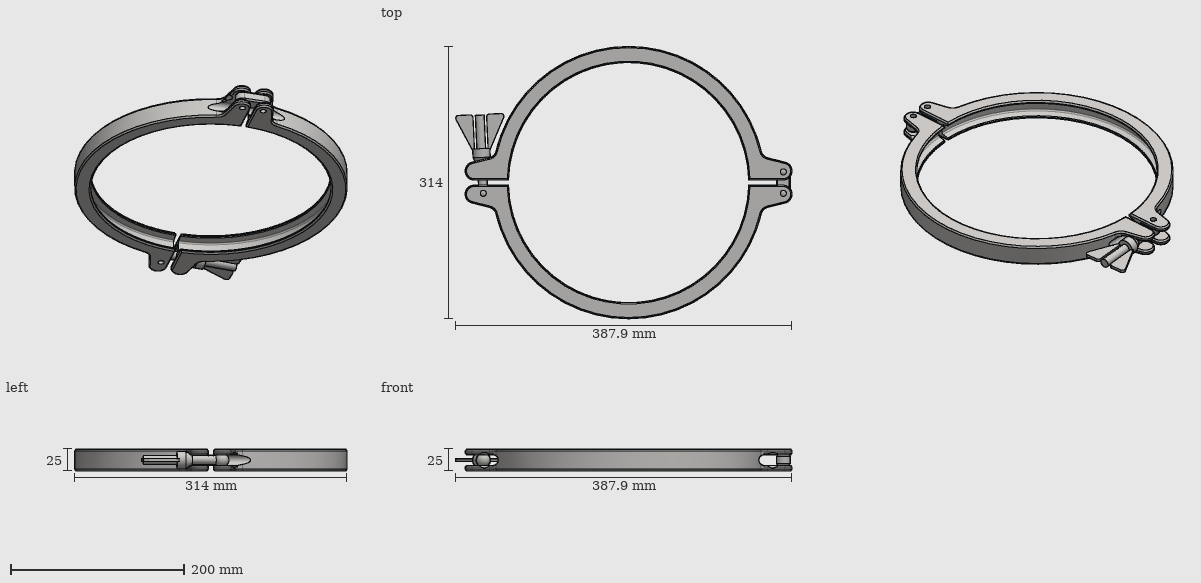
import cadquery as cq
import math

HEIGHT = 25.0
RING_OUTER_RADIUS = 157.0
RING_INNER_RADIUS = 138.5
HALF_GAP = 2.9
EDGE_CHAMFER_HEIGHT = 2.15
EDGE_CHAMFER_WIDTH = 1.5
GROOVE_RADIUS = 147.5
GROOVE_MOUTH_HEIGHT = 18.0
GROOVE_FLOOR_HEIGHT = 12.8
GROOVE_FILLET = 2.0
MOUTH_FILLET = 1.0

LUG_RADIUS = 10.5
LUG_X = 178.0
LUG_Y = HALF_GAP + LUG_RADIUS
LUG_SLOPE = math.radians(14)
LUG_ROOT_X = 151.0
SLOT_HEIGHT = 12.0
PRONG_THICKNESS = (HEIGHT - SLOT_HEIGHT) / 2
SLOT_INNER_X = 150.15
SLOT_END_Y = 58.0

JOINT_Y = 12.5
HINGE_X = 178.2
BOLT_X = -167.5
BOLT_BALL_DIAMETER = 16.5
LINK_BALL_DIAMETER = 15.5
JOINT_HOLE_DIAMETER = 7.0
LINK_WIDTH = 16.3

BOLT_TILT = 2.6
ROD_DIAMETER = 10.5
ROD_LENGTH = 90.3
NUT_RADIUS = 10.0
NUT_TIP_RADIUS = 6.2
NUT_TIP_Y = 34.0
NUT_CONE_END_Y = 41.5
NUT_TOP_Y = 51.5
WING_THICKNESS = 3.5
WING_INNER_X = 7.8
WING_ROOT_X = 9.3
WING_ROOT_Y = 48.0
WING_TIP_X = 30.0
WING_TOP_Y = 91.0
WING_CORNER_RADIUS = 3.5


def lug_blank(height):
    """Solid lug on the +X end of the +Y half, standing on the XY plane."""
    tangent_x = LUG_X + LUG_RADIUS * math.sin(LUG_SLOPE)
    tangent_y = LUG_Y + LUG_RADIUS * math.cos(LUG_SLOPE)
    root_y = tangent_y + (tangent_x - LUG_ROOT_X) * math.tan(LUG_SLOPE)
    return (
        cq.Workplane("XY")
        .moveTo(LUG_ROOT_X, HALF_GAP)
        .lineTo(LUG_X, HALF_GAP)
        .threePointArc((LUG_X + LUG_RADIUS, LUG_Y), (tangent_x, tangent_y))
        .lineTo(LUG_ROOT_X, root_y)
        .close()
        .extrude(height)
    )


def chamfer_rims(body):
    """Bevel every edge of the flat top and bottom faces."""
    for face in (">Z", "<Z"):
        body = body.faces(face).chamfer(EDGE_CHAMFER_HEIGHT, EDGE_CHAMFER_WIDTH)
    return body


def half_plate(height, z):
    """Half ring with two solid lugs, blended and with beveled rims, at mid-height z."""
    ring = cq.Workplane("XY").circle(RING_OUTER_RADIUS).circle(RING_INNER_RADIUS).extrude(height)
    keep = (
        cq.Workplane("XY")
        .box(3 * RING_OUTER_RADIUS, 2 * RING_OUTER_RADIUS, height, centered=(True, False, False))
        .translate((0, HALF_GAP, 0))
    )
    lug = lug_blank(height)
    plate = ring.intersect(keep).union(lug).union(lug.mirror("YZ"))
    blend_zone = cq.selectors.BoxSelector(
        (-RING_OUTER_RADIUS, LUG_Y + LUG_RADIUS, 0),
        (RING_OUTER_RADIUS, RING_OUTER_RADIUS, height),
    )
    plate = plate.edges("|Z").edges(blend_zone).fillet(LUG_RADIUS)
    return chamfer_rims(plate).translate((0, 0, z - height / 2))


def groove():
    """Tapered groove around the inside of the ring."""
    return (
        cq.Workplane("XZ")
        .moveTo(0, -GROOVE_MOUTH_HEIGHT / 2)
        .lineTo(RING_INNER_RADIUS, -GROOVE_MOUTH_HEIGHT / 2)
        .lineTo(GROOVE_RADIUS, -GROOVE_FLOOR_HEIGHT / 2)
        .lineTo(GROOVE_RADIUS, GROOVE_FLOOR_HEIGHT / 2)
        .lineTo(RING_INNER_RADIUS, GROOVE_MOUTH_HEIGHT / 2)
        .lineTo(0, GROOVE_MOUTH_HEIGHT / 2)
        .close()
        .revolve(360, (0, 0, 0), (0, 1, 0))
        .edges(cq.selectors.RadiusNthSelector(-1))
        .fillet(GROOVE_FILLET)
    )


def lug_zone(height):
    """Box around the +X lug, outside the round bottom of its slot."""
    return (
        cq.Workplane("XY")
        .box(LUG_X, SLOT_END_Y, height, centered=(False, False, True))
        .translate((SLOT_INNER_X + SLOT_HEIGHT / 2, 0, 0))
    )


def slot_bottom():
    """Round bottom of the fork slot in the +X lug, running along Y."""
    centre_x = SLOT_INNER_X + SLOT_HEIGHT / 2
    return cq.Workplane("XZ", origin=(centre_x, 0, 0)).circle(SLOT_HEIGHT / 2).extrude(-SLOT_END_Y)


def is_groove_mouth(edge):
    tolerance = 0.05
    on_inner_wall = abs(edge.radius() - RING_INNER_RADIUS) < tolerance
    return on_inner_wall and abs(edge.Center().z) < GROOVE_MOUTH_HEIGHT / 2 + tolerance


def with_both_sides(body):
    return body.union(body.mirror("YZ"))


def nut_body():
    """Nut body, a cone and a collar, on a bolt axis along +Y from the origin."""
    return (
        cq.Workplane("XY")
        .moveTo(0, NUT_TIP_Y)
        .lineTo(NUT_TIP_RADIUS, NUT_TIP_Y)
        .lineTo(NUT_RADIUS, NUT_CONE_END_Y)
        .lineTo(NUT_RADIUS, NUT_TOP_Y)
        .lineTo(0, NUT_TOP_Y)
        .close()
        .revolve(360, (0, 0, 0), (0, 1, 0))
    )


def clamp_half():
    """Grooved half ring on the +Y side with a forked, nut-seated lug at each end."""
    lug_zones = with_both_sides(lug_zone(HEIGHT))
    seat = nut_body().translate((BOLT_X, -JOINT_Y, 0))
    half = half_plate(HEIGHT, 0).cut(groove())
    half = half.edges("%CIRCLE").filter(is_groove_mouth).fillet(MOUTH_FILLET).cut(lug_zones)
    prong_z = (SLOT_HEIGHT + PRONG_THICKNESS) / 2
    for z in (-prong_z, prong_z):
        half = half.union(half_plate(PRONG_THICKNESS, z).intersect(lug_zones))
    for cutter in (with_both_sides(slot_bottom()), with_both_sides(seat)):
        half = half.cut(cutter)
    return half


def joint_hole(x, y):
    return (
        cq.Workplane("XY", origin=(x, y, -HEIGHT / 2))
        .circle(JOINT_HOLE_DIAMETER / 2)
        .extrude(HEIGHT)
    )


def ball(diameter, x, y):
    return cq.Workplane("XY").sphere(diameter / 2).translate((x, y, 0))


def hinge_link():
    """Round-ended link between the forks, with a ball at each joint centre."""
    link = (
        cq.Workplane("XY", origin=(HINGE_X, 0, -SLOT_HEIGHT / 2))
        .slot2D(2 * JOINT_Y + LINK_WIDTH, LINK_WIDTH, 90)
        .extrude(SLOT_HEIGHT)
    )
    link = chamfer_rims(link)
    for y in (-JOINT_Y, JOINT_Y):
        link = link.union(ball(LINK_BALL_DIAMETER, HINGE_X, y))
    return link


def wing():
    """Flat wing on the +X side of the nut."""
    return (
        cq.Workplane("XY", origin=(0, 0, -WING_THICKNESS / 2))
        .polyline([
            (WING_INNER_X, WING_ROOT_Y),
            (WING_ROOT_X, WING_ROOT_Y),
            (WING_TIP_X, WING_TOP_Y),
            (WING_INNER_X, WING_TOP_Y),
        ])
        .close()
        .extrude(WING_THICKNESS)
        .edges("|Z and >Y")
        .fillet(WING_CORNER_RADIUS)
    )


def swing_bolt():
    """Ball-ended rod carrying the wing nut, swung slightly about its ball."""
    rod = cq.Workplane("XZ").circle(ROD_DIAMETER / 2).extrude(-ROD_LENGTH)
    bolt = rod.union(ball(BOLT_BALL_DIAMETER, 0, 0)).union(nut_body())
    bolt = bolt.union(with_both_sides(wing()))
    return bolt.rotate((0, 0, 0), (0, 0, 1), BOLT_TILT).translate((BOLT_X, -JOINT_Y, 0))


bolt = swing_bolt()
link = hinge_link()

upper_half = clamp_half().cut(joint_hole(HINGE_X, JOINT_Y)).cut(link).cut(bolt)

lower_half = clamp_half().mirror("XZ")
for joint_x in (HINGE_X, BOLT_X):
    lower_half = lower_half.cut(joint_hole(joint_x, -JOINT_Y))
lower_half = lower_half.cut(bolt).union(link)

result = cq.Compound.makeCompound([body.solids().val() for body in (upper_half, lower_half, bolt)])